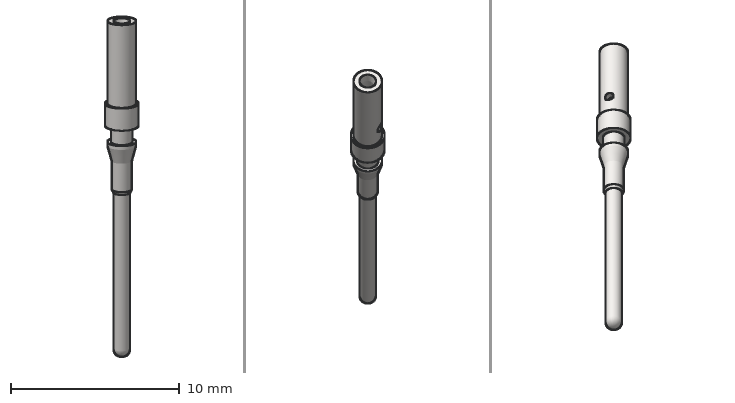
import cadquery as cq

total_length = 20.9

barrel_diameter = 1.7
collar_diameter = 2.0
neck_diameter = 1.3
flange_diameter = 1.71
stem_diameter = 1.21
pin_diameter = 1.0

collar_top = 15.75
collar_bottom = 14.38
flange_top = 13.38
flange_bottom = 13.13
flange_cone_bottom = 12.18
stem_chamfer_top = 10.43
pin_top = 10.22
tip_radius = 0.48

bore_mouth_diameter = 0.98
bore_mouth_taper_depth = 0.5
bore_inner_diameter = 0.77
bore_depth = 4.7
bore_cone_depth = 0.23
inspection_hole_diameter = 0.52
inspection_hole_height = 16.93


def revolve_profile(points):
    """Turn (radius, height) points about Z, closing the outline along the axis."""
    return cq.Workplane("XZ").polyline(points).close().revolve(360, (0, 0), (0, 1))


def make_body():
    outline = [
        (0, 0),
        (pin_diameter / 2, 0),
        (pin_diameter / 2, pin_top),
        (stem_diameter / 2, stem_chamfer_top),
        (stem_diameter / 2, flange_cone_bottom),
        (flange_diameter / 2, flange_bottom),
        (flange_diameter / 2, flange_top),
        (neck_diameter / 2, flange_top),
        (neck_diameter / 2, collar_bottom),
        (collar_diameter / 2, collar_bottom),
        (collar_diameter / 2, collar_top),
        (barrel_diameter / 2, collar_top),
        (barrel_diameter / 2, total_length),
        (0, total_length),
    ]
    return revolve_profile(outline).faces("<Z").edges().fillet(tip_radius)


def make_bore():
    floor = total_length - bore_depth
    return revolve_profile([
        (0, total_length),
        (bore_mouth_diameter / 2, total_length),
        (bore_inner_diameter / 2, total_length - bore_mouth_taper_depth),
        (bore_inner_diameter / 2, floor),
        (0, floor - bore_cone_depth),
    ])


def make_inspection_hole():
    """Radial hole from the axis out through the +Y side of the barrel."""
    return (
        cq.Workplane("XZ", origin=(0, 0, inspection_hole_height))
        .circle(inspection_hole_diameter / 2)
        .extrude(-barrel_diameter)
    )


result = make_body().cut(make_bore()).cut(make_inspection_hole())